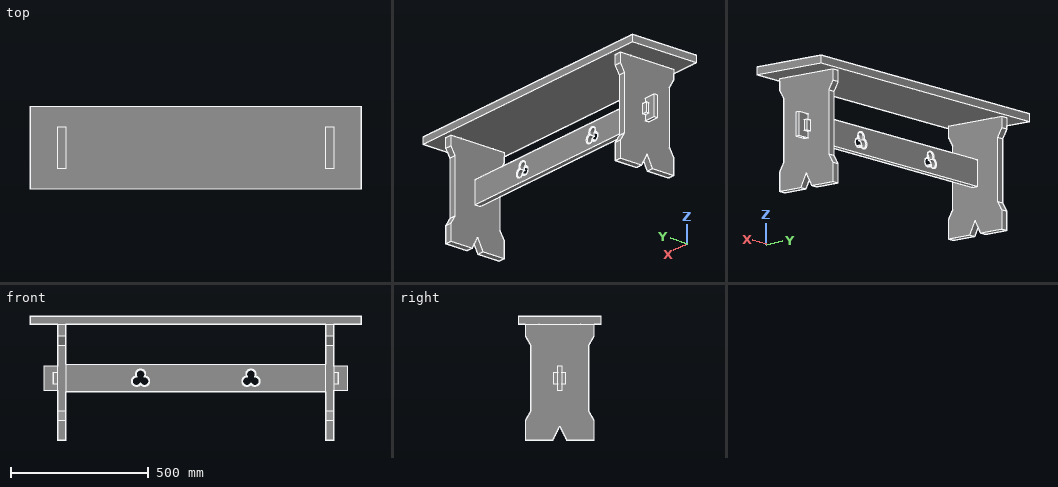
import cadquery as cq
import math

SEAT_LENGTH = 1200.0
SEAT_WIDTH = 300.0
BOARD_THICKNESS = 30.0
BENCH_HEIGHT = 450.0
SEAT_BOTTOM = BENCH_HEIGHT - BOARD_THICKNESS

LEG_OUTER_X = 500.0
LEG_CENTER_X = LEG_OUTER_X - BOARD_THICKNESS / 2
LEG_WIDTH = 250.0
WAIST_WIDTH = 211.0
FOOT_HEIGHT = 72.0
WAIST_START = 105.0
LEG_TENON_WIDTH = 150.0
NOTCH_WIDTH = 50.0
NOTCH_HEIGHT = 50.0

RAIL_HEIGHT = 100.0
RAIL_THICKNESS = 25.0
RAIL_CENTER_Z = BENCH_HEIGHT / 2
RAIL_LENGTH = 2 * (LEG_OUTER_X - BOARD_THICKNESS)
TENON_HEIGHT = 90.0
TENON_THICKNESS = 15.0
STRETCHER_LENGTH = 1100.0

TREFOIL_X = SEAT_LENGTH / 6
TREFOIL_DROP = 2.0
TREFOIL_CENTER_Z = RAIL_CENTER_Z - TREFOIL_DROP
LOBE_RADIUS = 15.0
TREFOIL_CHAMFER = 3.0
LOBE_OFFSET = 17.0
LOBE_ANGLES = (90, 210, 330)
CORE_RADIUS = 6.0

WEDGE_LENGTH = 43.0
WEDGE_HEIGHT = 41.0
WEDGE_THIN_END = 15.0
WEDGE_THICK_END = 20.0
WEDGE_CENTER_Y = -1.0


def centered_box(x_size, y_size, z_size, center):
    return cq.Workplane("XY").box(x_size, y_size, z_size).translate(center)


def make_leg(side):
    """One leg on the given side (-1 or +1), mortised for the stretcher tenon."""
    half_width = LEG_WIDTH / 2
    half_waist = WAIST_WIDTH / 2
    half_tenon = LEG_TENON_WIDTH / 2
    right_edge = [
        (NOTCH_WIDTH / 2, 0),
        (half_width, 0),
        (half_width, FOOT_HEIGHT),
        (half_waist, WAIST_START),
        (half_waist, BENCH_HEIGHT - WAIST_START),
        (half_width, BENCH_HEIGHT - FOOT_HEIGHT),
        (half_width, SEAT_BOTTOM),
        (half_tenon, SEAT_BOTTOM),
        (half_tenon, BENCH_HEIGHT),
    ]
    left_edge = [(-y, z) for y, z in reversed(right_edge)]
    outline = [(0, NOTCH_HEIGHT)] + right_edge + left_edge
    center_x = side * LEG_CENTER_X
    leg = (
        cq.Workplane("YZ", origin=(center_x, 0, 0))
        .polyline(outline)
        .close()
        .extrude(BOARD_THICKNESS / 2, both=True)
    )
    mortise = centered_box(
        BOARD_THICKNESS, TENON_THICKNESS, TENON_HEIGHT, (center_x, 0, RAIL_CENTER_Z)
    )
    return leg.cut(mortise)


def make_seat():
    """Seat board with a through mortise for each leg tenon."""
    center_z = SEAT_BOTTOM + BOARD_THICKNESS / 2
    seat = centered_box(SEAT_LENGTH, SEAT_WIDTH, BOARD_THICKNESS, (0, 0, center_z))
    for side in (-1, 1):
        mortise = centered_box(
            BOARD_THICKNESS, LEG_TENON_WIDTH, BOARD_THICKNESS, (side * LEG_CENTER_X, 0, center_z)
        )
        seat = seat.cut(mortise)
    return seat


def make_wedge(side):
    """Wedge lying along Y, flat against the leg and tapering toward -Y."""
    front_y = WEDGE_CENTER_Y - WEDGE_LENGTH / 2
    back_y = WEDGE_CENTER_Y + WEDGE_LENGTH / 2
    outline = [
        (side * LEG_OUTER_X, front_y),
        (side * (LEG_OUTER_X + WEDGE_THIN_END), front_y),
        (side * (LEG_OUTER_X + WEDGE_THICK_END), back_y),
        (side * LEG_OUTER_X, back_y),
    ]
    return (
        cq.Workplane("XY", origin=(0, 0, RAIL_CENTER_Z))
        .polyline(outline)
        .close()
        .extrude(WEDGE_HEIGHT / 2, both=True)
    )


def cut_trefoil(board, center_x):
    """Cut three overlapping lobes with chamfered rims, and the core left between them."""
    half_thickness = RAIL_THICKNESS / 2
    bore_half = half_thickness - TREFOIL_CHAMFER
    rim_radius = LOBE_RADIUS + TREFOIL_CHAMFER
    lobe_profile = [
        (0, -half_thickness),
        (rim_radius, -half_thickness),
        (LOBE_RADIUS, -bore_half),
        (LOBE_RADIUS, bore_half),
        (rim_radius, half_thickness),
        (0, half_thickness),
    ]
    lobe = cq.Workplane("XY").polyline(lobe_profile).close().revolve(360, (0, 0), (0, 1))
    core = (
        cq.Workplane("XZ", origin=(center_x, 0, TREFOIL_CENTER_Z))
        .circle(CORE_RADIUS)
        .extrude(half_thickness, both=True)
    )
    board = board.cut(core)
    for angle in LOBE_ANGLES:
        lobe_x = center_x + LOBE_OFFSET * math.cos(math.radians(angle))
        lobe_z = TREFOIL_CENTER_Z + LOBE_OFFSET * math.sin(math.radians(angle))
        board = board.cut(lobe.translate((lobe_x, 0, lobe_z)))
    return board


def make_stretcher(wedges):
    """Rail with end tenons, trefoil cutouts and a slot for each wedge."""
    center = (0, 0, RAIL_CENTER_Z)
    rail = centered_box(RAIL_LENGTH, RAIL_THICKNESS, RAIL_HEIGHT, center)
    stretcher = rail.union(centered_box(STRETCHER_LENGTH, TENON_THICKNESS, TENON_HEIGHT, center))
    for side in (-1, 1):
        stretcher = cut_trefoil(stretcher, side * TREFOIL_X)
    for wedge in wedges:
        stretcher = stretcher.cut(wedge)
    return stretcher


seat = make_seat()
legs = [make_leg(side) for side in (-1, 1)]
wedges = [make_wedge(side) for side in (-1, 1)]
stretcher = make_stretcher(wedges)

result = cq.Compound.makeCompound(
    [
        seat.val(),
        *[leg.val() for leg in legs],
        stretcher.val(),
        *[wedge.val() for wedge in wedges],
    ]
)